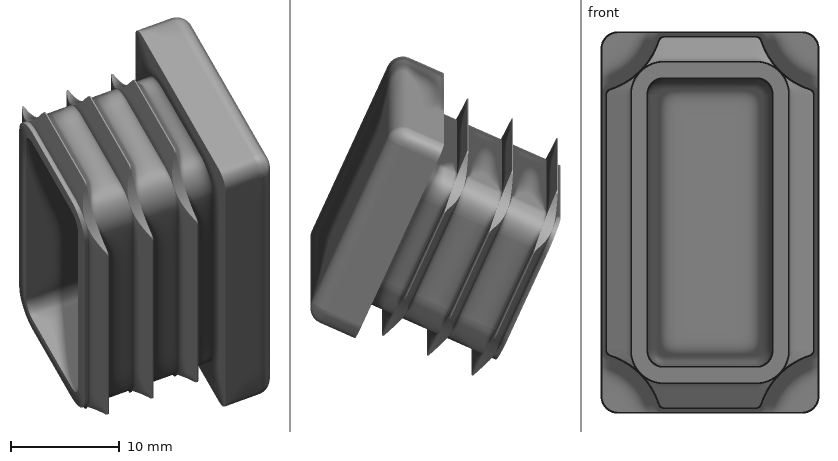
import cadquery as cq
import math

overall_length = 18.0

cap_width = 20.0
cap_height = 35.0
cap_thickness = 5.0
cap_corner_radius = 1.55
cap_edge_radius = 1.5

stem_width = 14.52
stem_height = 29.58
stem_corner_radius = 3.0
stem_length = overall_length - cap_thickness
wall = 1.5
floor_fillet = 0.98

fin_count = 3
fin_pitch = 4.5
first_fin_start = 0.42
fin_reach = 2.28
fin_flare_length = 0.88
fin_rim_thickness = 0.1
fin_tip_radius = 0.5
fin_width = stem_width + 2 * fin_reach
fin_height = stem_height + 2 * fin_reach
fin_corner_radius = stem_corner_radius + fin_reach

relief_radius = 7.0
relief_clearance = 0.05


def xz_plane(y):
    """Sketch plane at the given Y, with its normal along +Y."""
    return cq.Workplane(cq.Plane(origin=(0, y, 0), xDir=(-1, 0, 0), normal=(0, 1, 0)))


def rounded_outline(width, height, radius):
    return cq.Sketch().rect(width, height).vertices().fillet(radius)


def rounded_block(width, height, radius, start, length):
    return xz_plane(start).placeSketch(rounded_outline(width, height, radius)).extrude(length)


def make_cap():
    block = rounded_block(cap_width, cap_height, cap_corner_radius, stem_length, cap_thickness)
    return block.faces(">Y").edges().fillet(cap_edge_radius)


def make_stem():
    return rounded_block(stem_width, stem_height, stem_corner_radius, 0, stem_length)


def make_pocket():
    width = stem_width - 2 * wall
    height = stem_height - 2 * wall
    block = rounded_block(width, height, stem_corner_radius - wall, 0, stem_length)
    return block.faces(">Y").edges().fillet(floor_fillet)


def make_corner_reliefs():
    """Cylinders along Y outside the stem corners, each just clearing the corner at 45 degrees."""
    center_distance = stem_corner_radius + relief_radius + relief_clearance
    diagonal_step = center_distance * math.sqrt(0.5)
    x = stem_width / 2 - stem_corner_radius + diagonal_step
    z = stem_height / 2 - stem_corner_radius + diagonal_step
    centers = [(x, z), (-x, z), (-x, -z), (x, -z)]
    return xz_plane(0).pushPoints(centers).circle(relief_radius).extrude(stem_length)


def make_fin_envelope():
    """Stem-long block with the relieved corner outline that every fin is trimmed to."""
    block = xz_plane(0).rect(fin_width, fin_height).extrude(stem_length)
    return block.cut(make_corner_reliefs()).edges("|Y").fillet(fin_tip_radius)


def make_fin(start):
    root = rounded_outline(stem_width, stem_height, stem_corner_radius)
    rim = rounded_outline(fin_width, fin_height, fin_corner_radius)
    flare_shift = cq.Location(cq.Vector(0, 0, fin_flare_length))
    flare = xz_plane(start).placeSketch(root, rim.moved(flare_shift)).loft(ruled=True)
    rim_start = start + fin_flare_length
    return flare.union(rounded_block(fin_width, fin_height, fin_corner_radius, rim_start, fin_rim_thickness))


fin_envelope = make_fin_envelope()
result = make_cap().union(make_stem())
for index in range(fin_count):
    fin = make_fin(first_fin_start + index * fin_pitch)
    result = result.union(fin.intersect(fin_envelope))
result = result.cut(make_pocket())